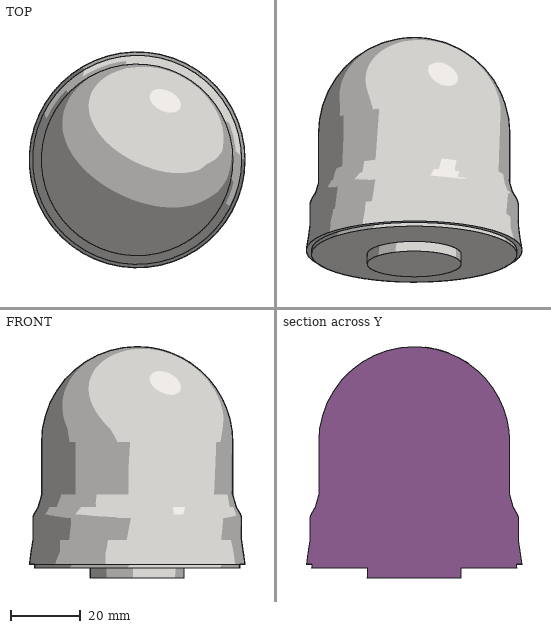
import cadquery as cq
import math

boss_radius = 13.5
spigot_radius = 29.5
flare_radius = 31.0
collar_radius = 30.0
neck_radius = 28.5
dome_radius = 27.5

total_height = 66.5
boss_top = 2.9
spigot_top = 4.0
flare_top = 10.9
neck_height = 20.4
taper_top = 23.9
dome_base = total_height - dome_radius

shoulder_angle = math.radians(30)
shoulder_fillet = 2.0
shoulder_height = neck_height - (collar_radius - neck_radius) / math.tan(shoulder_angle)
fillet_setback = shoulder_fillet * math.tan(shoulder_angle / 2)
fillet_center_radius = collar_radius - shoulder_fillet
fillet_start_height = shoulder_height - fillet_setback


def fillet_point(angle):
    """Point (radius, height) on the shoulder fillet, angle measured from horizontal."""
    return (
        fillet_center_radius + shoulder_fillet * math.cos(angle),
        fillet_start_height + shoulder_fillet * math.sin(angle),
    )


def dome_point(angle):
    """Point (radius, height) on the dome, angle measured from horizontal."""
    return (dome_radius * math.cos(angle), dome_base + dome_radius * math.sin(angle))


def half_profile():
    """Closed half section in the XZ plane, drawn from the base up to the crown."""
    return (
        cq.Workplane("XZ")
        .moveTo(0, 0)
        .lineTo(boss_radius, 0)
        .lineTo(boss_radius, boss_top)
        .lineTo(spigot_radius, boss_top)
        .lineTo(spigot_radius, spigot_top)
        .lineTo(flare_radius, spigot_top)
        .lineTo(collar_radius, flare_top)
        .lineTo(*fillet_point(0))
        .threePointArc(fillet_point(shoulder_angle / 2), fillet_point(shoulder_angle))
        .lineTo(neck_radius, neck_height)
        .lineTo(dome_radius, taper_top)
        .lineTo(dome_radius, dome_base)
        .threePointArc(dome_point(math.pi / 4), (0, total_height))
        .close()
    )


result = half_profile().revolve(360, (0, 0), (0, 1))